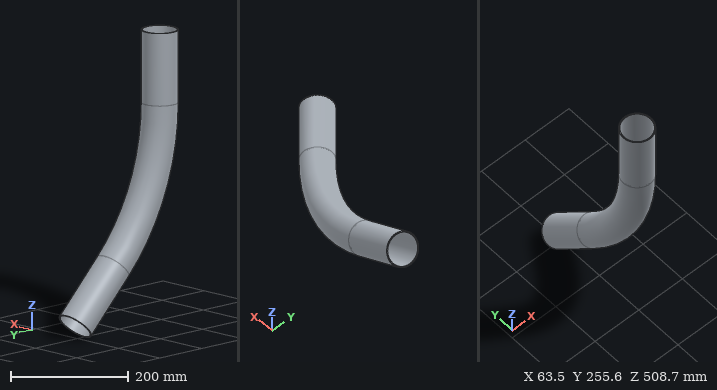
import cadquery as cq
import math

outer_diameter = 63.5
inner_diameter = 59.28
leg_length = 127.0
bend_radius = 381.0
bend_angle = 45.0


def point_on_bend(angle):
    """Centreline (Y, Z) point after turning by angle from vertical; the bend starts at the origin."""
    turn = math.radians(angle)
    return bend_radius * (1 - math.cos(turn)), -bend_radius * math.sin(turn)


def centreline():
    """Path down the vertical leg, around the bend and along the inclined leg towards +Y."""
    bend_end_y, bend_end_z = point_on_bend(bend_angle)
    slope = math.radians(bend_angle)
    tip = (
        bend_end_y + leg_length * math.sin(slope),
        bend_end_z - leg_length * math.cos(slope),
    )
    return (
        cq.Workplane("YZ")
        .moveTo(0, leg_length)
        .lineTo(0, 0)
        .threePointArc(point_on_bend(bend_angle / 2), (bend_end_y, bend_end_z))
        .lineTo(*tip)
    )


def bent_tube():
    """Ring section swept along the centreline, open at both ends."""
    section = (
        cq.Workplane("XY", origin=(0, 0, leg_length))
        .circle(outer_diameter / 2)
        .circle(inner_diameter / 2)
    )
    return section.sweep(centreline())


result = bent_tube()